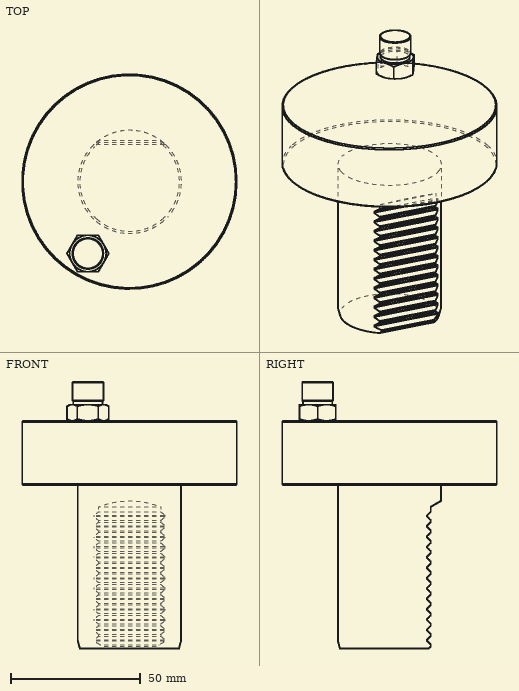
import cadquery as cq
import math

total_height = 103.0
shank_length = 63.0
flange_top = 88.0

flange_diameter = 83.0
flange_chamfer = 0.5
shank_diameter = 40.0
shank_lead_in_height = 3.0
shank_lead_in_angle = 15.0

flat_offset = 16.0
tooth_depth = 1.4
groove_root_width = 0.4
lowest_full_groove_height = 3.2
highest_groove_height = 51.2
full_groove_count = 13
tooth_pitch = (highest_groove_height - lowest_full_groove_height) / (full_groove_count - 1)
flat_top = 54.7
runout_angle = 30.0

fitting_radius = 32.0
fitting_angle = 240.0
nut_flats = 14.0
nut_height = 6.2
nut_chamfer_angle = 30.0
neck_diameter = 11.4
neck_height = 1.3
cap_diameter = 12.0
cap_chamfer = 0.3


def tan_degrees(angle):
    return math.tan(math.radians(angle))


def make_flange():
    disc = cq.Workplane("XY").workplane(offset=shank_length)
    disc = disc.circle(flange_diameter / 2).extrude(flange_top - shank_length)
    return disc.faces("<Z or >Z").chamfer(flange_chamfer)


def make_shank():
    radius = shank_diameter / 2
    end_radius = radius - shank_lead_in_height * tan_degrees(shank_lead_in_angle)
    outline = [
        (0, 0),
        (end_radius, 0),
        (radius, shank_lead_in_height),
        (radius, shank_length),
        (0, shank_length),
    ]
    return cq.Workplane("XZ").polyline(outline).close().revolve()


def extrude_across_shank(points):
    """Extrude a (Y, Z) outline across the full width of the shank."""
    return cq.Workplane("YZ").polyline(points).close().extrude(shank_diameter / 2, both=True)


def make_flat_cutter():
    outer = shank_diameter
    runout_top = flat_top + (outer - flat_offset) * tan_degrees(runout_angle)
    return extrude_across_shank([
        (flat_offset, -tooth_pitch),
        (outer, -tooth_pitch),
        (outer, runout_top),
        (flat_offset, flat_top),
    ])


def make_groove_cutter(height):
    root = flat_offset - tooth_depth
    half_root = groove_root_width / 2
    half_mouth = half_root + tooth_depth
    return extrude_across_shank([
        (root, height - half_root),
        (root, height + half_root),
        (flat_offset, height + half_mouth),
        (flat_offset, height - half_mouth),
    ])


def make_toothed_shank():
    shank = make_shank().cut(make_flat_cutter())
    for index in range(full_groove_count + 1):
        shank = shank.cut(make_groove_cutter(highest_groove_height - index * tooth_pitch))
    return shank


def make_nut():
    """Hexagon with corners along X, its corners bevelled at both ends."""
    flat_radius = nut_flats / 2
    corner_radius = flat_radius / math.cos(math.pi / 6)
    bevel = (corner_radius - flat_radius) * tan_degrees(nut_chamfer_angle)
    hexagon = cq.Workplane("XY").polygon(6, 2 * corner_radius).extrude(nut_height)
    envelope = cq.Workplane("XZ").polyline([
        (0, 0),
        (flat_radius, 0),
        (corner_radius, bevel),
        (corner_radius, nut_height - bevel),
        (flat_radius, nut_height),
        (0, nut_height),
    ]).close().revolve()
    return hexagon.intersect(envelope)


def make_fitting():
    cap_bottom = nut_height + neck_height
    cap_height = total_height - flange_top - cap_bottom
    neck = cq.Workplane("XY").circle(neck_diameter / 2).extrude(cap_bottom)
    cap = cq.Workplane("XY").workplane(offset=cap_bottom)
    cap = cap.circle(cap_diameter / 2).extrude(cap_height)
    cap = cap.faces("<Z or >Z").chamfer(cap_chamfer)
    return make_nut().union(neck).union(cap)


fitting_x = fitting_radius * math.cos(math.radians(fitting_angle))
fitting_y = fitting_radius * math.sin(math.radians(fitting_angle))
fitting = make_fitting().translate((fitting_x, fitting_y, flange_top))

result = make_flange().union(make_toothed_shank()).union(fitting)